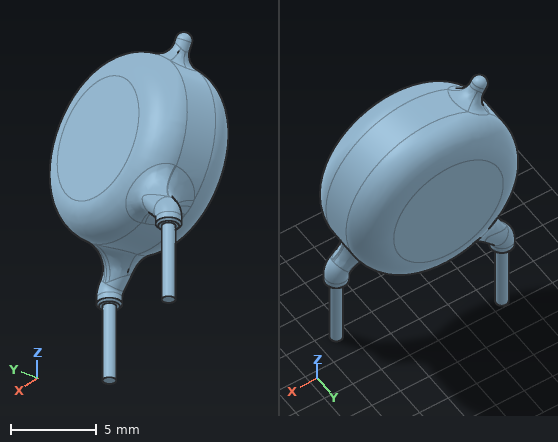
import cadquery as cq
import math

body_diameter = 11.7
body_thickness = 6.11
body_edge_radius = 2.0

overall_height = 18.75
lead_x = 4.76
lead_y = 1.55
wire_diameter = 0.8
wire_end_z = -12.5
left_wire_shortfall = 0.04

sleeve_diameter = 1.52
sleeve_end_z = -7.52
sleeve_chamfer = 0.15
bend_start_z = -6.95
bend_radius = 1.03
bend_angle = 45
lead_blend_radius = 2.0

nib_diameter = 1.01
nib_end_x = -4.22
nib_tilt = 30
nib_blend_radius = 1.0

stub_length = 4.5


def make_body():
    return (
        cq.Workplane("XZ", origin=(0, body_thickness / 2, 0))
        .circle(body_diameter / 2)
        .extrude(body_thickness)
        .edges()
        .fillet(body_edge_radius)
    )


def make_stub(start, lean, diameter):
    """Cylinder rising from start, leaning by an angle from Z towards +X."""
    angle = math.radians(lean)
    direction = cq.Vector(math.sin(angle), 0, math.cos(angle))
    return cq.Workplane(cq.Solid.makeCylinder(diameter / 2, stub_length, cq.Vector(*start), direction))


def make_nib():
    ball_radius = nib_diameter / 2
    centre = (nib_end_x, 0, overall_height + wire_end_z - ball_radius)
    stub = make_stub(centre, 180 - nib_tilt, nib_diameter)
    return stub.union(cq.Workplane(origin=centre).sphere(ball_radius))


def make_lead_stub(side):
    """Straight part of a lead from its bend into the body; side is -1 for left and 1 for right."""
    angle = math.radians(bend_angle)
    inward = bend_radius * (1 - math.cos(angle))
    rise = bend_radius * math.sin(angle)
    start = (side * (lead_x - inward), -side * lead_y, bend_start_z + rise)
    return make_stub(start, -side * bend_angle, sleeve_diameter)


def make_lead_end(side):
    """Bend, sleeve end and wire of one lead; side is -1 for left and 1 for right."""
    foot = cq.Workplane(origin=(side * lead_x, -side * lead_y, bend_start_z))
    bend_axis_x = -side * bend_radius
    bend = foot.circle(sleeve_diameter / 2).revolve(bend_angle, (bend_axis_x, 0, 0), (bend_axis_x, -side, 0))
    sleeve = (
        foot.circle(sleeve_diameter / 2)
        .extrude(sleeve_end_z - bend_start_z)
        .faces("<Z")
        .chamfer(sleeve_chamfer)
    )
    end_z = wire_end_z if side > 0 else wire_end_z + left_wire_shortfall
    wire = foot.circle(wire_diameter / 2).extrude(end_z - bend_start_z)
    return bend.union(sleeve).union(wire)


result = make_body().union(make_nib())
result = result.edges("%BSPLINE").fillet(nib_blend_radius)

lower_half = cq.selectors.BoxSelector(
    (-body_diameter, -body_thickness, -body_diameter),
    (body_diameter, body_thickness, 0),
)
for side in (-1, 1):
    result = result.union(make_lead_stub(side))
result = result.edges(lower_half).edges("%BSPLINE").fillet(lead_blend_radius)

for side in (-1, 1):
    result = result.union(make_lead_end(side))